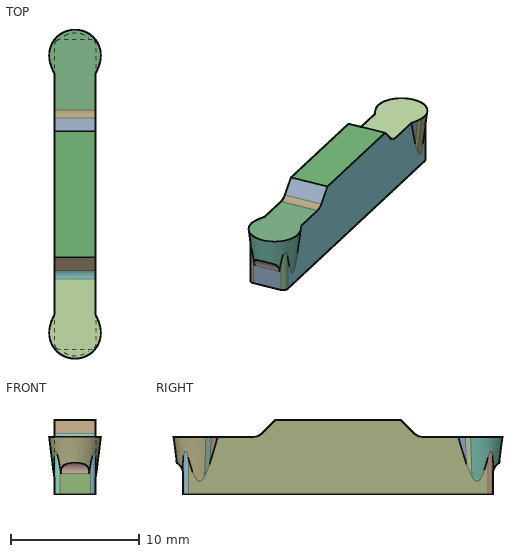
import cadquery as cq
import math

length = 25.63
total_height = 5.8
seat_height = 4.49
body_width = 3.2
body_length = 24.15
corner_radius = 0.4

plateau_length = 9.8
ramp_foot_radius = 0.92

head_radius = 2.02
clearance_angle = 7.0
flank_start = 10.3
flank_bend_x = 1.85
flank_bend_y = 9.9
flank_root_x = 1.15
flank_slope = 0.45

undercut_start_height = 1.65
undercut_radius = 0.92

head_center_y = length / 2 - head_radius
body_end_y = body_length / 2


def make_body():
    ramp_foot_y = plateau_length / 2 + total_height - seat_height
    body = (
        cq.Workplane("YZ")
        .moveTo(-body_end_y, seat_height)
        .lineTo(-ramp_foot_y, seat_height)
        .lineTo(-plateau_length / 2, total_height)
        .lineTo(plateau_length / 2, total_height)
        .lineTo(ramp_foot_y, seat_height)
        .lineTo(body_end_y, seat_height)
        .lineTo(body_end_y, 0)
        .lineTo(-body_end_y, 0)
        .close()
        .extrude(body_width / 2, both=True)
    )
    for foot_y in (-ramp_foot_y, ramp_foot_y):
        foot_edge = cq.selectors.NearestToPointSelector((0, foot_y, seat_height))
        body = body.edges(foot_edge).fillet(ramp_foot_radius)
    return body.edges("|Z").fillet(corner_radius)


def make_head():
    """Head at the +Y end, tapering downwards from its flat top."""
    flank_start_x = math.sqrt(head_radius**2 - (flank_start - head_center_y) ** 2)
    flank_root_y = flank_bend_y - (flank_bend_x - flank_root_x) / flank_slope
    head = (
        cq.Workplane("XY")
        .workplane(offset=seat_height)
        .moveTo(flank_start_x, flank_start)
        .threePointArc((0, length / 2), (-flank_start_x, flank_start))
        .lineTo(-flank_bend_x, flank_bend_y)
        .lineTo(-flank_root_x, flank_root_y)
        .lineTo(flank_root_x, flank_root_y)
        .lineTo(flank_bend_x, flank_bend_y)
        .close()
        .extrude(-seat_height, taper=clearance_angle)
    )
    diagonal = undercut_radius * math.sqrt(0.5)
    arc_center_y = body_end_y + undercut_radius
    undercut = (
        cq.Workplane("YZ")
        .moveTo(body_end_y, 0)
        .lineTo(body_end_y, undercut_start_height)
        .threePointArc(
            (arc_center_y - diagonal, undercut_start_height + diagonal),
            (arc_center_y, undercut_start_height + undercut_radius),
        )
        .lineTo(arc_center_y, 0)
        .close()
        .extrude(head_radius, both=True)
    )
    return head.cut(undercut)


head = make_head()
result = make_body().union(head).union(head.mirror("XZ"))